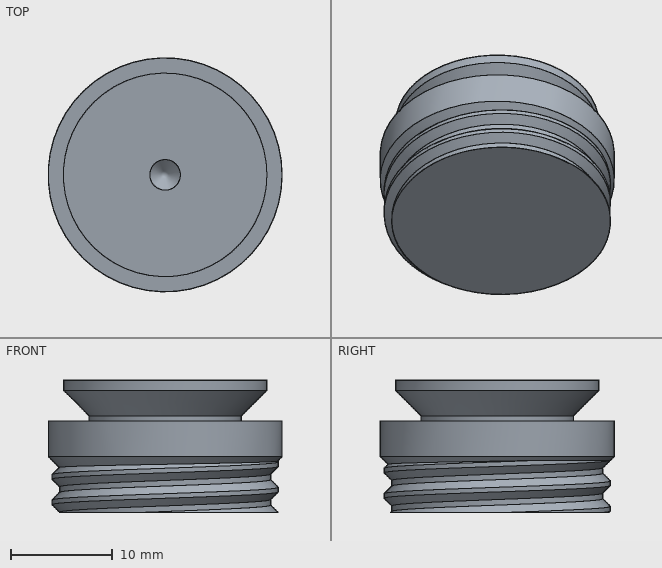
import cadquery as cq

TOTAL_HEIGHT = 13.0
RIM_BOTTOM = 12.0
BAND_TOP = 9.0
BAND_BOTTOM = 5.5

RIM_RADIUS = 20.0 / 2
NECK_RADIUS = 15.0 / 2
BAND_RADIUS = 23.0 / 2

CREST_RADIUS = 22.25 / 2
THREAD_DEPTH = 0.75
THREAD_PITCH = 2.5
CREST_WIDTH = 0.45
THREAD_OVERLAP = 0.2
CREST_OFFSET = -0.25
ROOT_RADIUS = CREST_RADIUS - THREAD_DEPTH

MARK_RADIUS = 1.5
MARK_DEPTH = MARK_RADIUS


def revolve_about_z(half_section):
    """Solid of revolution from a list of (radius, height) points."""
    return cq.Workplane("XZ").polyline(half_section).close().revolve(360, (0, 0), (0, 1))


def make_body():
    """Turned body: threaded core, wide band, neck and flared top rim, with 45 degree cones."""
    under_rim = RIM_BOTTOM - (RIM_RADIUS - NECK_RADIUS)
    core_top = BAND_BOTTOM - (BAND_RADIUS - ROOT_RADIUS)
    half_section = [
        (0, 0),
        (ROOT_RADIUS, 0),
        (ROOT_RADIUS, core_top),
        (BAND_RADIUS, BAND_BOTTOM),
        (BAND_RADIUS, BAND_TOP),
        (NECK_RADIUS, BAND_TOP),
        (NECK_RADIUS, under_rim),
        (RIM_RADIUS, RIM_BOTTOM),
        (RIM_RADIUS, TOTAL_HEIGHT),
        (0, TOTAL_HEIGHT),
    ]
    return revolve_about_z(half_section)


def make_thread():
    """Helical ridge, trimmed flush with the end face and running out inside the band."""
    start = CREST_OFFSET - THREAD_PITCH
    helix = cq.Wire.makeHelix(THREAD_PITCH, BAND_BOTTOM - start, ROOT_RADIUS)
    crest_half = CREST_WIDTH / 2
    root_half = crest_half + THREAD_DEPTH
    buried_radius = ROOT_RADIUS - THREAD_OVERLAP
    ridge_section = [
        (buried_radius, -root_half),
        (ROOT_RADIUS, -root_half),
        (CREST_RADIUS, -crest_half),
        (CREST_RADIUS, crest_half),
        (ROOT_RADIUS, root_half),
        (buried_radius, root_half),
    ]
    ridge = cq.Workplane("XZ").polyline(ridge_section).close().sweep(cq.Workplane(helix), isFrenet=True)
    ridge = ridge.translate((0, 0, start))
    keep_zone = cq.Workplane("XY").circle(BAND_RADIUS).extrude(BAND_TOP)
    return ridge.intersect(keep_zone)


def make_centre_mark():
    """Cone pointing down from the top face."""
    half_section = [(0, TOTAL_HEIGHT), (MARK_RADIUS, TOTAL_HEIGHT), (0, TOTAL_HEIGHT - MARK_DEPTH)]
    return revolve_about_z(half_section)


result = make_body().union(make_thread()).cut(make_centre_mark())